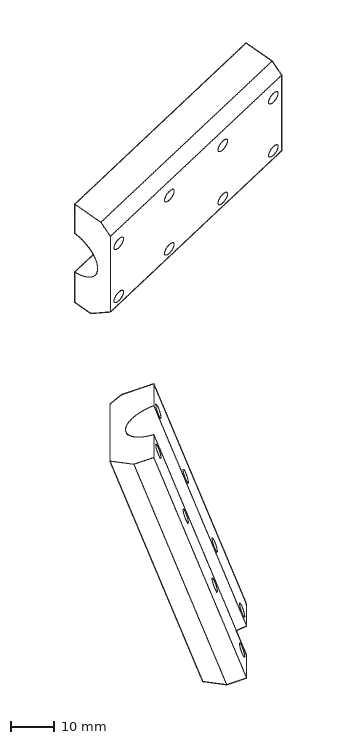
import cadquery as cq

depth = 10.9
length = 61.0
height = 38.8
top_chamfer = 2.9
bottom_chamfer = 6.0

channel_radius = 7.6
channel_axis_offset = 0.6
channel_z = 0.25

hole_diameter = 3.4
hole_row_spacing = 21.0
hole_row_z = 0.1
outer_hole_spacing = 55.0
inner_hole_spacing = 19.05

open_face_x = -depth / 2
back_face_x = depth / 2
top_z = height / 2
bottom_z = -height / 2


def make_block():
    """Bar along Y with both back corners cut at 45 degrees."""
    profile = [
        (open_face_x, bottom_z),
        (back_face_x - bottom_chamfer, bottom_z),
        (back_face_x, bottom_z + bottom_chamfer),
        (back_face_x, top_z - top_chamfer),
        (back_face_x - top_chamfer, top_z),
        (open_face_x, top_z),
    ]
    return cq.Workplane("XZ").polyline(profile).close().extrude(length / 2, both=True)


def make_channel():
    """Round cutter for the channel, running the full length."""
    return (
        cq.Workplane("XZ")
        .center(open_face_x - channel_axis_offset, channel_z)
        .circle(channel_radius)
        .extrude(length / 2, both=True)
    )


def make_holes():
    """Cutters for the two rows of holes through the depth."""
    centres = [
        (side * spacing / 2, hole_row_z + row * hole_row_spacing / 2)
        for spacing in (outer_hole_spacing, inner_hole_spacing)
        for side in (-1, 1)
        for row in (-1, 1)
    ]
    return (
        cq.Workplane("YZ")
        .pushPoints(centres)
        .circle(hole_diameter / 2)
        .extrude(depth / 2, both=True)
    )


result = make_block().cut(make_channel()).cut(make_holes())